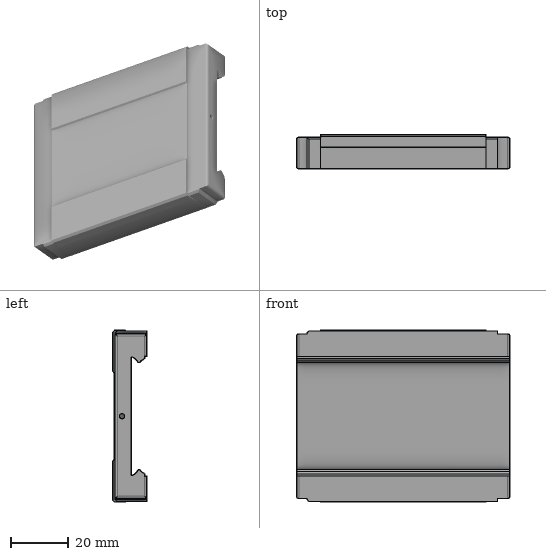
import cadquery as cq


total_length = 74.4
total_height = 12.0
total_width = 60.0

block_length = 57.6
block_skirt_width = 59.6
block_skirt_height = 7.4
flank_chamfer = 0.25
block_chamfer = 0.75
pad_inner_half_width = 15.2
relief_depth = 0.5

cap_length = (total_length - block_length) / 2
cap_height = 11.1
cap_width = 57.5
cap_fillet = 0.85
shoulder_width = 59.5
shoulder_chamfer = 0.75
left_shoulder_length = 4.85
right_shoulder_length = 4.15

hole_diameter = 1.8
hole_height = 8.7

mouth_half_width = 20.9
lip_half_width = 20.2
lip_height = 0.75
lip_flank_mid = (1.4, 19.65)
tip_start = (2.1, 19.25)
tip_crest = (2.75, 18.65)
tip_end = (3.4, 19.25)
undercut_height = 4.3
undercut_half_width = 20.15
root_height = 5.2
root_half_width = 20.65
floor_height = 5.4

half_length = total_length / 2
half_block = block_length / 2


def centred_box(start_x, length, height, width):
    """Box standing on the rail-side face, centred across the rail."""
    box = cq.Workplane("XY").box(length, height, width, centered=(False, False, True))
    return box.translate((start_x, 0, 0))


def make_block():
    """Steel block with chamfered mounting edges and two raised mounting pads."""
    half_width = total_width / 2
    half_skirt = block_skirt_width / 2
    pad_bottom = total_height - relief_depth
    pad_edge = pad_inner_half_width + relief_depth
    upper_flank = [
        (0, half_skirt),
        (block_skirt_height, half_skirt),
        (block_skirt_height + flank_chamfer, half_width),
        (total_height - block_chamfer, half_width),
        (total_height, half_width - block_chamfer),
        (total_height, pad_edge),
        (pad_bottom, pad_inner_half_width),
    ]
    lower_flank = [(height, -half_span) for height, half_span in reversed(upper_flank)]
    outline = cq.Workplane("YZ").polyline(upper_flank + lower_flank).close()
    return outline.extrude(block_length).translate((-half_block, 0, 0))


def make_cap(end_face, start_x):
    """Outer part of an end cap, rounded around its end face."""
    cap = centred_box(start_x, cap_length, cap_height, cap_width)
    return cap.faces(end_face).edges().fillet(cap_fillet)


def make_left_shoulder():
    """Shoulder chamfered on its mounting edges and on its outer end edges."""
    start_x = -half_block - left_shoulder_length
    shoulder = centred_box(start_x, left_shoulder_length, cap_height, shoulder_width)
    long_edges = "(>Y and >Z) or (>Y and <Z)"
    end_edges = "(<X and >Z) or (<X and <Z)"
    return shoulder.edges(f"{long_edges} or {end_edges}").chamfer(shoulder_chamfer)


def make_right_shoulder():
    """Shoulder chamfered only on its mounting edges."""
    shoulder = centred_box(half_block, right_shoulder_length, cap_height, shoulder_width)
    return shoulder.edges("(>Y and >Z) or (>Y and <Z)").chamfer(shoulder_chamfer)


def make_channel_half(side):
    """Half of the rail channel; side is +1 or -1 along Z."""

    def across(point):
        return (point[0], side * point[1])

    outline = (
        cq.Workplane("YZ")
        .moveTo(0, 0)
        .lineTo(0, side * mouth_half_width)
        .lineTo(lip_height, side * mouth_half_width)
        .lineTo(lip_height, side * lip_half_width)
        .threePointArc(across(lip_flank_mid), across(tip_start))
        .threePointArc(across(tip_crest), across(tip_end))
        .lineTo(undercut_height, side * undercut_half_width)
        .lineTo(root_height, side * root_half_width)
        .lineTo(floor_height, side * root_half_width)
        .lineTo(floor_height, 0)
        .close()
    )
    return outline.extrude(total_length).translate((-half_length, 0, 0))


def make_lubrication_hole():
    """Blind hole along X, as deep as the left end cap."""
    hole = cq.Workplane("YZ").center(hole_height, 0).circle(hole_diameter / 2)
    return hole.extrude(cap_length).translate((-half_length, 0, 0))


body = make_block()
body = body.union(make_cap("<X", -half_length))
body = body.union(make_cap(">X", half_block))
body = body.union(make_left_shoulder())
body = body.union(make_right_shoulder())
for channel_side in (1, -1):
    body = body.cut(make_channel_half(channel_side))
result = body.cut(make_lubrication_hole())